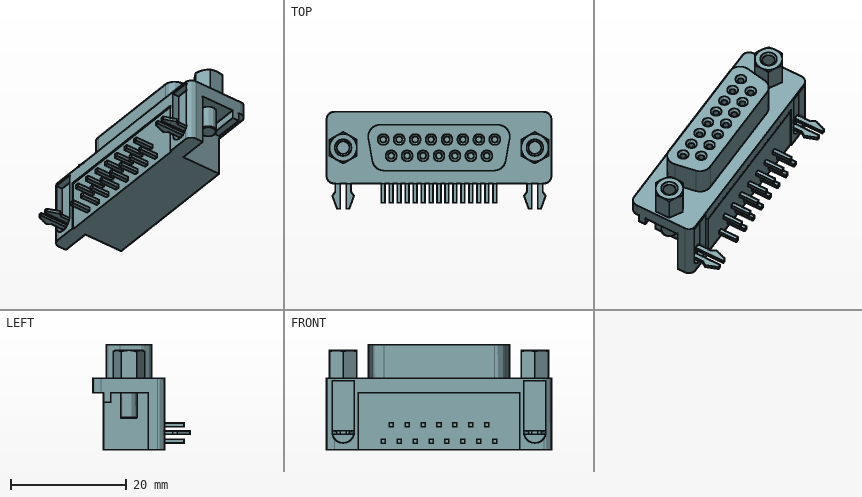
import cadquery as cq
import math

BODY_LENGTH = 39.14
BODY_DEPTH = 12.5
BODY_HEIGHT = 12.5
CORNER_RADIUS = 1.35
FLANGE_THICKNESS = 2.6
FRONT_Y = -BODY_DEPTH / 2
FLANGE_BOTTOM_Z = BODY_HEIGHT - FLANGE_THICKNESS

WALL_THICKNESS = 2.85
HOUSING_LENGTH = 28.0
HOUSING_SETBACK = 0.2
HOUSING_BACK_Y = 4.45
RIB_THICKNESS = 1.3
RIB_DROP = 1.65

SHELL_LENGTH = 24.6
SHELL_DEPTH = 7.95
SHELL_HEIGHT = 5.8
SHELL_RADIUS = 2.06
SHELL_SIDE_ANGLE = 10.0

LONG_ROW_COUNT = 8
SHORT_ROW_COUNT = 7
CONTACT_PITCH = 2.77
ROW_SPACING = 2.84
SOCKET_DIAMETER = 1.05
SOCKET_MOUTH_DIAMETER = 1.9
SOCKET_MOUTH_DEPTH = 0.45
SOCKET_DEPTH = 5.0
PIN_SIZE = 0.7
PIN_LENGTH = 3.33
LOWER_PIN_Z = 1.52

SCREW_X = 16.66
HEX_ACROSS_FLATS = 4.75
HEX_HEIGHT = 4.8
HEX_SIDES = 6
HEX_HALF_ANGLE = 180 / HEX_SIDES
HEX_CHAMFER_ANGLE = 30.0
THREAD_DIAMETER = 2.2
THREAD_MOUTH_DIAMETER = 2.9
THREAD_DEPTH = 4.0
STUD_DIAMETER = 2.9
STUD_BOTTOM_Z = 5.5
STUD_CHAMFER = 0.15

LOCK_SLOT_WIDTH = 3.8
LOCK_SLOT_DEPTH = 1.25
LOCK_SLOT_TOP_Z = 12.05
LOCK_SLOT_ARC_Z = 3.1
LOCK_Z = 3.0
LOCK_THICKNESS = 0.6
LOCK_GAP = 1.0
LOCK_WIDTH = 2.75
LOCK_BARB_WIDTH = 3.8
LOCK_TIP_WIDTH = 2.15
LOCK_BRIDGE_STANDOUT = 0.12
LOCK_LENGTH = 4.38
LOCK_SHOULDER = 1.4
LOCK_BARB_PEAK = 2.13

OVERLAP = 0.3


def block(x_range, y_range, z_range):
    """Axis-aligned box between the given limits."""
    lows, highs = zip(x_range, y_range, z_range)
    sizes = [high - low for low, high in zip(lows, highs)]
    return cq.Workplane("XY").box(*sizes, centered=False).translate(lows)


def make_body():
    """Flange and full-width front wall, with the housing and its back ribs."""
    half_length = BODY_LENGTH / 2
    half_housing = HOUSING_LENGTH / 2
    wall_back_y = FRONT_Y + WALL_THICKNESS

    body = cq.Workplane("XY").box(BODY_LENGTH, BODY_DEPTH, BODY_HEIGHT, centered=(True, True, False))
    body = body.edges("|Z").fillet(CORNER_RADIUS)
    body = body.cut(block((-half_length, half_length), (wall_back_y, BODY_DEPTH), (0, FLANGE_BOTTOM_Z)))

    housing_front_y = FRONT_Y + HOUSING_SETBACK
    body = body.cut(block((-half_housing, half_housing), (FRONT_Y, housing_front_y), (0, FLANGE_BOTTOM_Z)))
    housing = block(
        (-half_housing, half_housing), (housing_front_y, HOUSING_BACK_Y), (0, FLANGE_BOTTOM_Z + OVERLAP)
    )
    rib = block(
        (-half_length, half_length),
        (HOUSING_BACK_Y - RIB_THICKNESS, HOUSING_BACK_Y),
        (FLANGE_BOTTOM_Z - RIB_DROP, FLANGE_BOTTOM_Z + OVERLAP),
    )
    return body.union(housing).union(rib)


def make_shell():
    """Solid D-shaped shell on the flange, wider towards +Y."""
    lean = math.radians(SHELL_SIDE_ANGLE)
    half_depth = SHELL_DEPTH / 2
    corner_y = half_depth - SHELL_RADIUS
    upper_corner_x = SHELL_LENGTH / 2 - SHELL_RADIUS
    wide_offset = SHELL_RADIUS * (1 + math.sin(lean)) / math.cos(lean)
    narrow_offset = SHELL_RADIUS * (1 - math.sin(lean)) / math.cos(lean)
    lower_corner_x = upper_corner_x - 2 * corner_y * math.tan(lean)
    wide_x = upper_corner_x + wide_offset
    narrow_x = lower_corner_x + narrow_offset

    outline = [
        (-wide_x, half_depth),
        (wide_x, half_depth),
        (narrow_x, -half_depth),
        (-narrow_x, -half_depth),
    ]
    shell = (
        cq.Workplane("XY", origin=(0, 0, BODY_HEIGHT - OVERLAP))
        .polyline(outline)
        .close()
        .extrude(SHELL_HEIGHT + OVERLAP)
    )
    return shell.edges("|Z").fillet(SHELL_RADIUS)


def row_positions(count):
    """X positions of a contact row centred on the part."""
    return [(i - (count - 1) / 2) * CONTACT_PITCH for i in range(count)]


def make_socket():
    """Cutter for one contact socket: a round hole with a conical mouth at z = 0."""
    profile = [
        (0, 0),
        (SOCKET_MOUTH_DIAMETER / 2, 0),
        (SOCKET_DIAMETER / 2, -SOCKET_MOUTH_DEPTH),
        (SOCKET_DIAMETER / 2, -SOCKET_DEPTH),
        (0, -SOCKET_DEPTH),
    ]
    return cq.Workplane("XZ").polyline(profile).close().revolve(360, (0, 0), (0, 1))


def make_pin(x, z):
    """Square solder pin that stands out of the housing front."""
    half = PIN_SIZE / 2
    y_range = (FRONT_Y - PIN_LENGTH, FRONT_Y + HOUSING_SETBACK + OVERLAP)
    return block((x - half, x + half), y_range, (z - half, z + half))


def make_jack_screw():
    """Hex standoff on the flange with a chamfered bore, and its stud below."""
    corner_diameter = HEX_ACROSS_FLATS / math.cos(math.radians(HEX_HALF_ANGLE))
    hex_top_z = BODY_HEIGHT + HEX_HEIGHT
    chamfer_drop = (corner_diameter - HEX_ACROSS_FLATS) / 2 * math.tan(math.radians(HEX_CHAMFER_ANGLE))

    hexagon = (
        cq.Workplane("XY", origin=(0, 0, BODY_HEIGHT - OVERLAP))
        .polygon(HEX_SIDES, corner_diameter)
        .extrude(HEX_HEIGHT + OVERLAP)
        .rotate((0, 0, 0), (0, 0, 1), HEX_HALF_ANGLE)
    )
    envelope_profile = [
        (0, 0),
        (corner_diameter / 2, 0),
        (corner_diameter / 2, hex_top_z - chamfer_drop),
        (HEX_ACROSS_FLATS / 2, hex_top_z),
        (0, hex_top_z),
    ]
    envelope = cq.Workplane("XZ").polyline(envelope_profile).close().revolve(360, (0, 0), (0, 1))

    mouth_depth = (THREAD_MOUTH_DIAMETER - THREAD_DIAMETER) / 2
    bore_profile = [
        (0, hex_top_z),
        (THREAD_MOUTH_DIAMETER / 2, hex_top_z),
        (THREAD_DIAMETER / 2, hex_top_z - mouth_depth),
        (THREAD_DIAMETER / 2, hex_top_z - THREAD_DEPTH),
        (0, hex_top_z - THREAD_DEPTH),
    ]
    bore = cq.Workplane("XZ").polyline(bore_profile).close().revolve(360, (0, 0), (0, 1))

    stud = (
        cq.Workplane("XY", origin=(0, 0, STUD_BOTTOM_Z))
        .circle(STUD_DIAMETER / 2)
        .extrude(FLANGE_BOTTOM_Z - STUD_BOTTOM_Z + OVERLAP)
        .faces("<Z")
        .chamfer(STUD_CHAMFER)
    )
    return hexagon.intersect(envelope).cut(bore).union(stud)


def make_lock_slot():
    """Cutter for the board-lock recess: flat top, round bottom."""
    radius = LOCK_SLOT_WIDTH / 2
    return (
        cq.Workplane("XZ", origin=(0, FRONT_Y + LOCK_SLOT_DEPTH, 0))
        .moveTo(-radius, LOCK_SLOT_TOP_Z)
        .lineTo(-radius, LOCK_SLOT_ARC_Z)
        .threePointArc((0, LOCK_SLOT_ARC_Z - radius), (radius, LOCK_SLOT_ARC_Z))
        .lineTo(radius, LOCK_SLOT_TOP_Z)
        .close()
        .extrude(LOCK_SLOT_DEPTH)
    )


def make_board_lock():
    """Pair of barbed prongs joined by a bridge at the back of the recess."""
    root_y = FRONT_Y + LOCK_SLOT_DEPTH + OVERLAP
    tip_y = FRONT_Y - LOCK_LENGTH
    outline = [
        (LOCK_GAP / 2, root_y),
        (LOCK_WIDTH / 2, root_y),
        (LOCK_WIDTH / 2, FRONT_Y - LOCK_SHOULDER),
        (LOCK_BARB_WIDTH / 2, FRONT_Y - LOCK_BARB_PEAK),
        (LOCK_TIP_WIDTH / 2, tip_y),
        (LOCK_GAP / 2, tip_y),
    ]
    prong = (
        cq.Workplane("XY", origin=(0, 0, LOCK_Z - LOCK_THICKNESS / 2))
        .polyline(outline)
        .close()
        .extrude(LOCK_THICKNESS)
    )
    half_gap = LOCK_GAP / 2 + OVERLAP
    bridge = block(
        (-half_gap, half_gap),
        (root_y - OVERLAP - LOCK_BRIDGE_STANDOUT, root_y),
        (LOCK_Z - LOCK_THICKNESS / 2, LOCK_Z + LOCK_THICKNESS / 2),
    )
    return prong.union(prong.mirror("YZ")).union(bridge)


result = make_body().union(make_shell())

contact_rows = [
    (LONG_ROW_COUNT, ROW_SPACING / 2, LOWER_PIN_Z),
    (SHORT_ROW_COUNT, -ROW_SPACING / 2, LOWER_PIN_Z + ROW_SPACING),
]
for count, socket_y, pin_z in contact_rows:
    for contact_x in row_positions(count):
        socket = make_socket().translate((contact_x, socket_y, BODY_HEIGHT + SHELL_HEIGHT))
        result = result.cut(socket).union(make_pin(contact_x, pin_z))

for screw_x in (-SCREW_X, SCREW_X):
    result = result.union(make_jack_screw().translate((screw_x, 0, 0)))
    result = result.cut(make_lock_slot().translate((screw_x, 0, 0)))
    result = result.union(make_board_lock().translate((screw_x, 0, 0)))